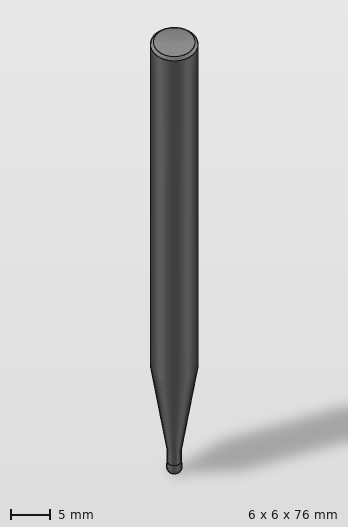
import cadquery as cq

total_length = 76.0
shank_radius = 3.0
shank_chamfer = 0.4

head_radius = 1.0
head_length = 2.0

neck_radius = 0.9
neck_top = 4.0
taper_top = 18.85


def make_cutting_head():
    """Ball-nosed, back-tapered cutting head with its tip at the origin."""
    arc_offset = head_radius * 0.5**0.5
    return (
        cq.Workplane("XZ")
        .moveTo(0, 0)
        .threePointArc((arc_offset, head_radius - arc_offset), (head_radius, head_radius))
        .lineTo(neck_radius, head_length)
        .lineTo(0, head_length)
        .close()
        .revolve(360, (0, 0), (0, 1))
    )


def make_holder():
    """Neck, taper and straight shank, standing on the flat top of the cutting head."""
    profile = [
        (0, head_length),
        (neck_radius, head_length),
        (neck_radius, neck_top),
        (shank_radius, taper_top),
        (shank_radius, total_length - shank_chamfer),
        (shank_radius - shank_chamfer, total_length),
        (0, total_length),
    ]
    return cq.Workplane("XZ").polyline(profile).close().revolve(360, (0, 0), (0, 1))


cutting_head = make_cutting_head()
holder = make_holder()

result = cq.Compound.makeCompound([cutting_head.val(), holder.val()])